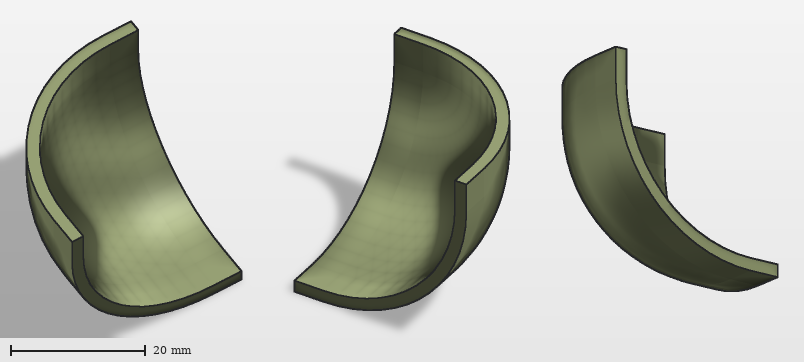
import cadquery as cq

side = 30.0
wall = 2.0
outer_radius = 25.0
inner_radius = outer_radius - wall


def rounded_corner(size, radius):
    """Cube from the origin toward -X, -Y, -Z, with the three edges at its far corner rounded."""
    cube = cq.Workplane("XY").box(size, size, size, centered=False).translate((-size, -size, -size))
    far_corner_edges = cube.edges("(<X and <Y) or (<X and <Z) or (<Y and <Z)")
    return far_corner_edges.fillet(radius)


outer_body = rounded_corner(side, outer_radius)
cavity = rounded_corner(side - wall, inner_radius)
corner_at_origin = outer_body.cut(cavity)

result = corner_at_origin.translate((side / 2, side / 2, side / 2))